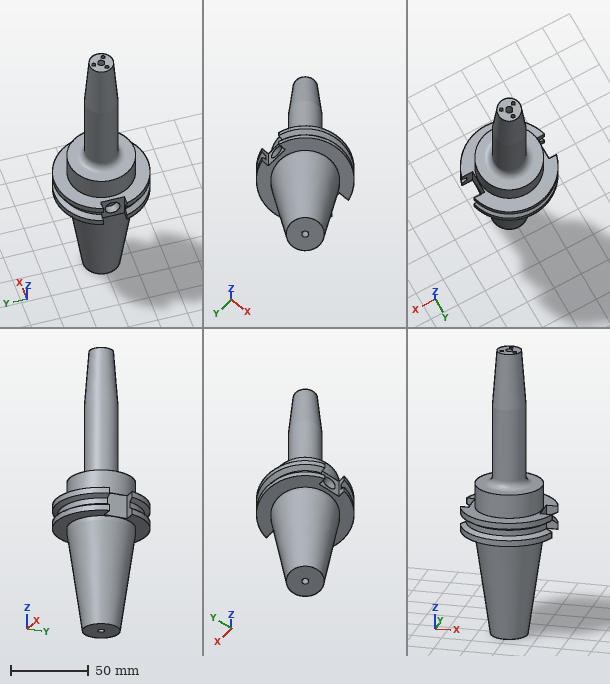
import cadquery as cq
import math

total_height = 195.2
taper_length = 68.3
taper_large_radius = 22.3
taper_rate = 7 / 24
taper_small_radius = taper_large_radius - taper_length * taper_rate / 2

flange_radius = 31.6
flange_gap = 3.1
flange_thickness = 16.0
flange_bottom = taper_length + flange_gap
flange_top = flange_bottom + flange_thickness
groove_floor_radius = 28.1
groove_floor_width = 4.0
groove_middle = 79.5
groove_half_angle = math.radians(30)
groove_wall_rise = (flange_radius - groove_floor_radius) * math.tan(groove_half_angle)
groove_floor_bottom = groove_middle - groove_floor_width / 2
groove_floor_top = groove_middle + groove_floor_width / 2

collar_top = 103.5
shank_radius = 11.0
root_fillet = 5.0
nose_length = 37.7
nose_bottom = total_height - nose_length
nose_tip_radius = 8.0

slot_width = 16.0
left_slot_floor = 25.0
right_slot_floor = 22.6
slot_hole_diameter = 10.0
slot_hole_depth = 5.9

bore_diameter = 4.5
tip_hole_count = 3
tip_hole_diameter = 2.3
tip_hole_circle_radius = 5.0
tip_hole_depth = 19.5


def make_body():
    """Revolve the half section around Z."""
    fillet_middle_offset = root_fillet * (1 - math.sqrt(0.5))
    return (
        cq.Workplane("XZ")
        .lineTo(taper_small_radius, 0)
        .lineTo(taper_large_radius, taper_length)
        .lineTo(taper_large_radius, flange_bottom)
        .lineTo(flange_radius, flange_bottom)
        .lineTo(flange_radius, groove_floor_bottom - groove_wall_rise)
        .lineTo(groove_floor_radius, groove_floor_bottom)
        .lineTo(groove_floor_radius, groove_floor_top)
        .lineTo(flange_radius, groove_floor_top + groove_wall_rise)
        .lineTo(flange_radius, flange_top)
        .lineTo(taper_large_radius, flange_top)
        .lineTo(taper_large_radius, collar_top)
        .lineTo(shank_radius + root_fillet, collar_top)
        .threePointArc(
            (shank_radius + fillet_middle_offset, collar_top + fillet_middle_offset),
            (shank_radius, collar_top + root_fillet),
        )
        .lineTo(shank_radius, nose_bottom)
        .lineTo(nose_tip_radius, total_height)
        .lineTo(0, total_height)
        .close()
        .revolve(360, (0, 0, 0), (0, 1, 0))
    )


def make_slot(side, floor_distance):
    """Box from the slot floor outward; side is -1 for -X and +1 for +X."""
    return cq.Workplane("XY").box(
        flange_radius, slot_width, flange_thickness
    ).translate((
        side * (floor_distance + flange_radius / 2),
        0,
        flange_bottom + flange_thickness / 2,
    ))


def make_slot_hole():
    """Blind round hole in the floor of the -X slot."""
    return (
        cq.Workplane("YZ", origin=(-left_slot_floor, 0, groove_middle))
        .circle(slot_hole_diameter / 2)
        .extrude(slot_hole_depth)
    )


def make_bore():
    """Bore through the full length of the part."""
    return cq.Workplane("XY").circle(bore_diameter / 2).extrude(total_height)


def make_tip_holes():
    """Blind holes evenly spaced around the bore, the first toward +Y."""
    return (
        cq.Workplane("XY", origin=(0, 0, total_height))
        .polarArray(tip_hole_circle_radius, 90, 360, tip_hole_count)
        .circle(tip_hole_diameter / 2)
        .extrude(-tip_hole_depth)
    )


result = (
    make_body()
    .cut(make_slot(-1, left_slot_floor))
    .cut(make_slot(1, right_slot_floor))
    .cut(make_slot_hole())
    .cut(make_bore())
    .cut(make_tip_holes())
)